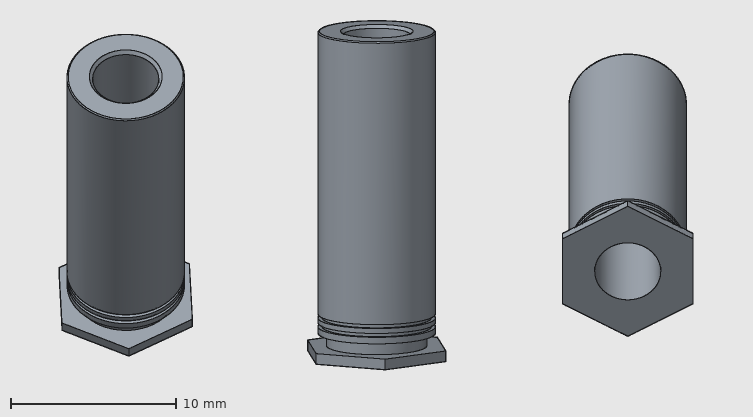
import cadquery as cq
import math

total_height = 20.0
hex_across_flats = 7.9
head_thickness = 0.65

body_diameter = 7.12
groove_diameter = 6.62
neck_diameter = 6.1
bore_diameter = 4.0

neck_top = 1.42
groove_bottoms = (1.82, 2.35)
groove_height = 0.25

rim_chamfer = 0.08
bore_chamfer = 0.2


def disc(diameter, bottom, top):
    """Solid cylinder on the Z axis between two heights."""
    return cq.Workplane("XY").workplane(offset=bottom).circle(diameter / 2).extrude(top - bottom)


def hex_head():
    """Thin hexagonal head with two corners on the X axis."""
    across_corners = hex_across_flats / math.cos(math.pi / 6)
    return cq.Workplane("XY").polygon(6, across_corners).extrude(head_thickness)


def barrel():
    """Long cylinder with a chamfered top rim and two ring grooves near its lower end."""
    body = disc(body_diameter, neck_top, total_height).faces(">Z").edges().chamfer(rim_chamfer)
    for bottom in groove_bottoms:
        top = bottom + groove_height
        ring = disc(body_diameter, bottom, top).cut(disc(groove_diameter, bottom, top))
        body = body.cut(ring)
    return body


def bore():
    """Through hole that widens to a chamfer at the top."""
    countersink = (
        cq.Workplane("XY")
        .workplane(offset=total_height)
        .circle(bore_diameter / 2 + bore_chamfer)
        .workplane(offset=-bore_chamfer)
        .circle(bore_diameter / 2)
        .loft()
    )
    return disc(bore_diameter, 0, total_height).union(countersink)


neck = disc(neck_diameter, 0, neck_top)
result = hex_head().union(neck).union(barrel()).cut(bore())